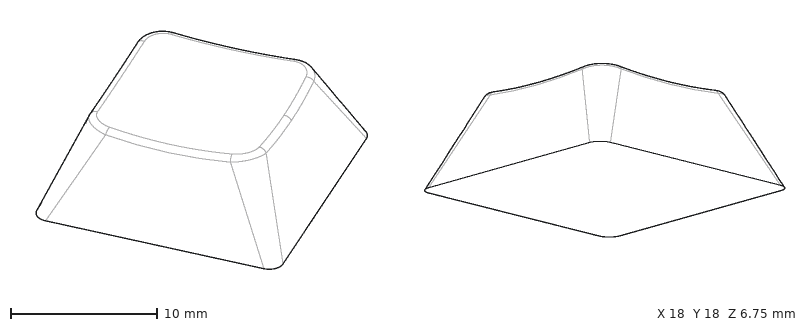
import cadquery as cq

base_width = 18.0
base_corner_radius = 1.0
loft_height = 8.1
blank_top_width = 11.52
blank_top_corner_radius = 2.12
dish_radius = 37.8
dish_floor_height = 5.94
rim_fillet_radius = 0.5


def rounded_square(width, corner_radius):
    """Square outline with rounded corners, centred on the key axis."""
    return cq.Sketch().rect(width, width).vertices().fillet(corner_radius)


blank = cq.Workplane("XY").placeSketch(
    rounded_square(base_width, base_corner_radius),
    rounded_square(blank_top_width, blank_top_corner_radius).moved(
        cq.Location(cq.Vector(0, 0, loft_height))
    ),
).loft()

dish_centre_height = dish_floor_height + dish_radius
dish = cq.Workplane("XY").sphere(dish_radius).translate((0, 0, dish_centre_height))
dished_body = blank.cut(dish)

above_base = cq.selectors.BoxSelector(
    (-base_width, -base_width, dish_floor_height),
    (base_width, base_width, loft_height),
)
result = dished_body.edges(above_base).fillet(rim_fillet_radius)